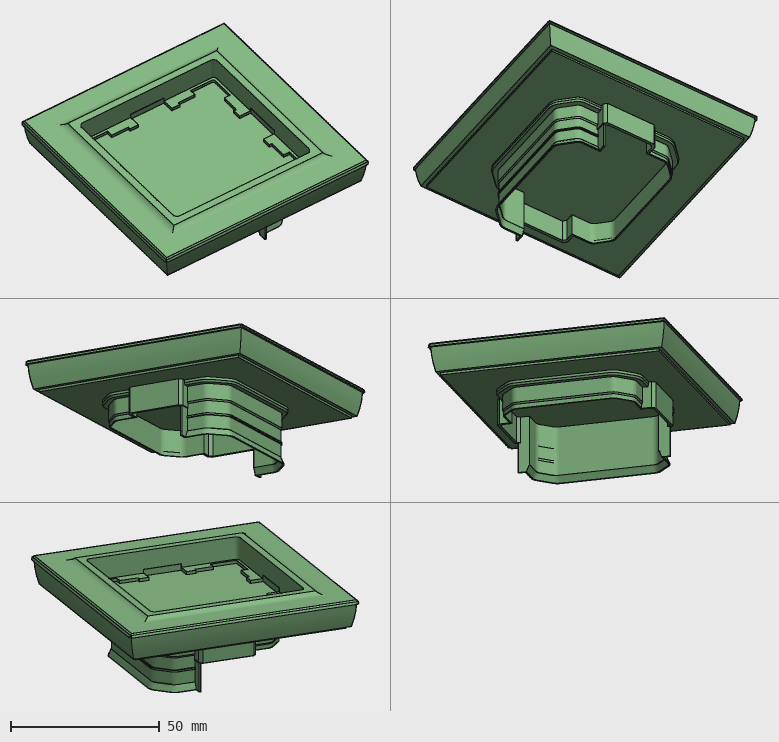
import cadquery as cq
import math


sides = 4

frame_half = 42.05
lip_bevel_half = 41.6
top_face_half = 41.1
wall_top_half = 41.2
wall_middle_half = 40.8
wall_bottom_half = 39.9
back_step_half = 38.5
crown_foot_half = 33.5
crown_top_half = 30.7
crown_middle_half = 31.9
lip_corner_bevel = 0.8

crown_middle_z = -0.8
front_face_z = -1.2
lip_bevel_z = -1.7
lip_bottom_z = -2.5
wall_middle_z = -6.7
wall_bottom_z = -11.0
frame_back_z = -11.9

opening_top_half = 28.0
opening_bottom_half = 27.7
opening_corner_radius = 1.7
ledge_z = -7.9
ledge_thickness = 1.1
floor_z = ledge_z - ledge_thickness
ledge_half = 26.7
ledge_corner_radius = 0.8
tab_half = 24.2
tab_toe_half = 23.2
tab_near = 6.9
tab_toe_end = 10.35
tab_far = 17.15
recess_height = 1.3
recess_half = 27.8

skirt_half = 23.6
skirt_corner_bevel = 5.9
skirt_corner_radius = 3.0
skirt_wall = 0.8
skirt_groove = 0.3
groove_top_z = -18.9
groove_full_z = -19.5
bead_top_z = -23.8
bead_bottom_z = -24.55
bead_slope = 0.1
flare_neck_z = -29.1
flare_start_z = -29.8
shallow_bottom_z = -21.0
deep_bottom_z = -31.5
flare = 0.75
collar_overhang = 2.1
collar_taper = 0.3
collar_middle_z = -12.8
collar_bottom_z = -13.5

bulge_half_x = 27.9
bulge_half_y = 10.4
bulge_bevel = 1.1
fin_half_x = bulge_half_x - bulge_bevel
fin_inner_y = 9.6
fin_thickness = 0.6


def block(half_x, half_y, bottom, top):
    """Upright block centred on the Z axis."""
    return cq.Workplane("XY").workplane(offset=bottom).rect(2 * half_x, 2 * half_y).extrude(top - bottom)


def body_bar(plane):
    """Cross-section of the frame body pushed through its full width."""
    return (
        cq.Workplane(plane)
        .moveTo(0, front_face_z)
        .lineTo(top_face_half, front_face_z)
        .lineTo(lip_bevel_half, lip_bevel_z)
        .lineTo(frame_half, lip_bottom_z)
        .lineTo(wall_top_half, lip_bottom_z)
        .threePointArc((wall_middle_half, wall_middle_z), (wall_bottom_half, wall_bottom_z))
        .lineTo(back_step_half, wall_bottom_z)
        .lineTo(back_step_half, frame_back_z)
        .lineTo(0, frame_back_z)
        .mirrorY()
        .extrude(frame_half, both=True)
    )


def crown_bar(plane):
    """Cross-section of the concave crown pushed through the full width."""
    return (
        cq.Workplane(plane)
        .moveTo(0, 0)
        .lineTo(crown_top_half, 0)
        .threePointArc((crown_middle_half, crown_middle_z), (crown_foot_half, front_face_z))
        .lineTo(0, front_face_z)
        .mirrorY()
        .extrude(frame_half, both=True)
    )


def make_frame():
    """Mitred frame: body and crown are each the part common to two crossed bars."""
    bevelled_limit = block(frame_half, frame_half, frame_back_z, 0).edges("|Z").chamfer(lip_corner_bevel)
    body = body_bar("XZ").intersect(body_bar("YZ")).intersect(bevelled_limit)
    crown = crown_bar("XZ").intersect(crown_bar("YZ"))
    return body.union(crown)


def make_opening():
    """Slightly tapered opening down to the ledge."""
    taper = math.degrees(math.atan((opening_top_half - opening_bottom_half) / -ledge_z))
    side = 2 * opening_top_half
    outline = cq.Sketch().rect(side, side).vertices().fillet(opening_corner_radius)
    return cq.Workplane("XY").placeSketch(outline).extrude(ledge_z, taper=taper)


def make_tab(mirrored):
    """Stepped tab on the +Y side of the ledge."""
    sign = -1 if mirrored else 1
    outline = [
        (tab_near, opening_top_half),
        (tab_near, tab_toe_half),
        (tab_toe_end, tab_toe_half),
        (tab_toe_end, tab_half),
        (tab_far, tab_half),
        (tab_far, opening_top_half),
    ]
    points = [(sign * along, across) for along, across in outline]
    return cq.Workplane("XY").workplane(offset=floor_z).polyline(points).close().extrude(ledge_thickness)


def make_well():
    """Space between ledge and floor, with the tabs left standing."""
    well = block(ledge_half, ledge_half, floor_z, ledge_z).edges("|Z").fillet(ledge_corner_radius)
    recess_top = ledge_z + recess_height
    well = well.union(block(tab_near, recess_half, floor_z, recess_top))
    well = well.union(block(recess_half, tab_near, floor_z, recess_top))
    for side in range(sides):
        for mirrored in (False, True):
            well = well.cut(make_tab(mirrored).rotate((0, 0, 0), (0, 0, 1), 360 / sides * side))
    return well


def skirt_wire(growth, z):
    """Closed skirt outline, moved outwards by growth, at height z."""
    side = skirt_half + growth
    if growth > 0:
        near = skirt_half - skirt_corner_bevel + growth * (math.sqrt(2) - 1)
        radius = skirt_corner_radius + growth
    else:
        near = skirt_half - skirt_corner_bevel
        radius = skirt_corner_radius
    corners = [
        (side, -near),
        (side, near),
        (near, side),
        (-near, side),
        (-side, near),
        (-side, -near),
        (-near, -side),
        (near, -side),
    ]
    octagon = cq.Wire.makePolygon([cq.Vector(x, y, z) for x, y in corners], close=True)
    return octagon.fillet2D(radius, octagon.Vertices())


def skirt_stack(stations):
    """Solid through skirt outlines given as (growth, z) stations."""
    wires = [skirt_wire(growth, z) for growth, z in stations]
    return cq.Workplane("XY").newObject([cq.Solid.makeLoft(wires, True)])


def make_skirt():
    """Thin skirt, deep on the +Y side, with collar, side bulges and fins."""
    outside = skirt_stack([
        (0, frame_back_z),
        (0, groove_top_z),
        (-skirt_groove, groove_full_z),
        (-skirt_groove, bead_top_z),
        (0, bead_top_z - bead_slope),
        (0, bead_bottom_z + bead_slope),
        (-skirt_groove, bead_bottom_z),
        (-skirt_groove, flare_neck_z),
        (0, flare_start_z),
        (flare, deep_bottom_z),
    ])
    inside = skirt_stack([
        (-skirt_wall, frame_back_z),
        (-skirt_wall, flare_neck_z),
        (-skirt_wall + skirt_groove, flare_start_z),
        (-skirt_wall + skirt_groove + flare, deep_bottom_z),
    ])
    collar = skirt_stack([
        (collar_overhang, frame_back_z),
        (collar_overhang, collar_middle_z),
        (collar_overhang - collar_taper, collar_bottom_z),
    ])
    bulge = block(bulge_half_x, bulge_half_y, shallow_bottom_z, frame_back_z).edges("|Z").chamfer(bulge_bevel)
    core_half_x = bulge_half_x - skirt_wall
    core_half_y = bulge_half_y - skirt_wall
    bulge_core = block(core_half_x, core_half_y, shallow_bottom_z, frame_back_z).edges("|Z").chamfer(bulge_bevel)
    fin = (
        block(fin_half_x, fin_thickness / 2, deep_bottom_z, shallow_bottom_z)
        .translate((0, fin_inner_y + fin_thickness / 2, 0))
    )
    missing_depth = fin_inner_y + frame_half
    missing = (
        block(frame_half, missing_depth / 2, deep_bottom_z, shallow_bottom_z)
        .translate((0, fin_inner_y - missing_depth / 2, 0))
    )
    return outside.union(collar).union(bulge).union(fin).cut(inside).cut(bulge_core).cut(missing)


result = make_frame().cut(make_opening()).cut(make_well()).union(make_skirt())